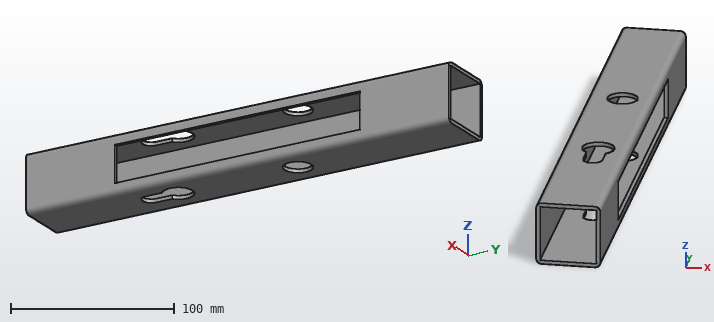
import cadquery as cq

length = 300.0
width = 40.0
wall = 2.5
corner_radius = 3.5

hole_x = 1.5
handle_diameter = 18.5
handle_y = 32.0
cylinder_diameter = 19.8
cylinder_y = -52.8
keyway_width = 12.0
keyway_end_y = -78.0

window_height = 25.2
window_length = 174.0


def make_tube():
    inner_width = width - 2 * wall
    outer = cq.Workplane("XY").box(width, length, width).edges("|Y").fillet(corner_radius)
    bore = cq.Workplane("XY").box(inner_width, length, inner_width)
    return outer.cut(bore)


def round_cutter(diameter, y):
    return cq.Workplane("XY").center(hole_x, y).circle(diameter / 2).extrude(width, both=True)


def keyway_cutter():
    """Straight slot from the cylinder centre to a rounded end."""
    end_centre_y = keyway_end_y + keyway_width / 2
    slot_length = cylinder_y - end_centre_y
    straight = (
        cq.Workplane("XY")
        .center(hole_x, (cylinder_y + end_centre_y) / 2)
        .rect(keyway_width, slot_length)
        .extrude(width, both=True)
    )
    return straight.union(round_cutter(keyway_width, end_centre_y))


def window_cutter():
    wall_centre_x = (width - wall) / 2
    window = cq.Workplane("XY").box(2 * wall, window_length, window_height)
    return window.translate((wall_centre_x, 0, 0))


result = (
    make_tube()
    .cut(round_cutter(handle_diameter, handle_y))
    .cut(round_cutter(cylinder_diameter, cylinder_y))
    .cut(keyway_cutter())
    .cut(window_cutter())
)